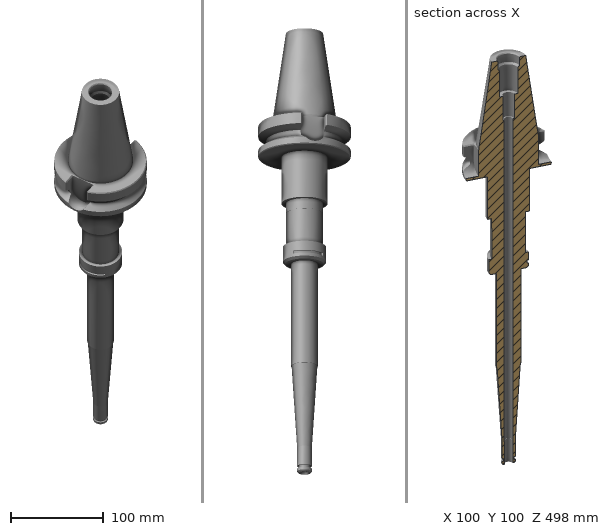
import cadquery as cq
import math

total_length = 498.0
gauge_z = 395.8
flange_top = 393.5
flange_bottom = 357.5
stem_bottom = 305.0
neck_step = 293.5
neck_bottom = 256.0
collar_bottom = 236.5
rod_bottom = 121.0
cone_bottom = 28.5

taper_small_dia = 40.5
taper_large_dia = 70.0
flange_dia = 100.0
stem_dia = 50.0
neck_upper_dia = 40.5
neck_lower_dia = 40.0
collar_dia = 47.0
rod_dia = 29.0
cone_top_dia = 28.0
nose_dia = 16.0

flange_chamfer = 1.0
collar_chamfer = 2.5
nose_chamfer = 1.5

groove_root_dia = 83.0
groove_center_z = 373.0
groove_root_width = 6.0
groove_wall_angle = 30.0

keyway_width = 26.0
keyway_floor = 35.5
keyway_bottom = 361.0
keyway_chamfer = 1.25

collar_groove_bottom = 242.5
collar_groove_width = 3.0
collar_groove_depth = 1.5
collar_groove_angle = 90.0

nose_groove_dia = 13.0
nose_groove_bottom = 4.5
nose_groove_width = 3.0

counterbore_dia = 25.0
counterbore_depth = 11.0
mouth_chamfer = 1.0
thread_dia = 21.0
thread_depth = 45.0
coolant_entry_dia = 13.0
coolant_entry_depth = 74.5
coolant_dia = 10.0
nozzle_dia = 9.0


def frustum(bottom_z, top_z, bottom_dia, top_dia):
    """Solid of revolution about Z with straight sides."""
    profile = [
        (0, bottom_z),
        (bottom_dia / 2, bottom_z),
        (top_dia / 2, top_z),
        (0, top_z),
    ]
    return cq.Workplane("XZ").polyline(profile).close().revolve(360, (0, 0), (0, 1))


def cylinder(bottom_z, top_z, dia):
    return frustum(bottom_z, top_z, dia, dia)


def ring(bottom_z, top_z, inner_dia, outer_dia):
    return cylinder(bottom_z, top_z, outer_dia).cut(cylinder(bottom_z, top_z, inner_dia))


def make_flange():
    flange = cylinder(flange_bottom, flange_top, flange_dia).edges().chamfer(flange_chamfer)
    root_radius = groove_root_dia / 2
    rim_radius = flange_dia / 2
    root_half = groove_root_width / 2
    rim_half = root_half + (rim_radius - root_radius) * math.tan(math.radians(groove_wall_angle))
    groove = (
        cq.Workplane("XZ")
        .moveTo(root_radius, groove_center_z - root_half)
        .lineTo(rim_radius, groove_center_z - rim_half)
        .lineTo(rim_radius, groove_center_z + rim_half)
        .lineTo(root_radius, groove_center_z + root_half)
        .close()
        .revolve(360, (0, 0), (0, 1))
    )
    return flange.cut(groove)


def make_keyway():
    """Round-ended slot on the -Y side, open at the top, with its upper edges chamfered."""
    half = keyway_width / 2
    end_center = keyway_bottom + half
    slot = (
        cq.Workplane("XZ", origin=(0, -keyway_floor, 0))
        .moveTo(-half, gauge_z)
        .lineTo(-half, end_center)
        .threePointArc((0, keyway_bottom), (half, end_center))
        .lineTo(half, gauge_z)
        .close()
        .extrude(flange_dia)
    )
    flared_half = half + keyway_chamfer
    top_flare = (
        cq.Workplane("XZ", origin=(0, -keyway_floor, 0))
        .polyline([
            (-half, flange_top - keyway_chamfer),
            (-flared_half, flange_top),
            (flared_half, flange_top),
            (half, flange_top - keyway_chamfer),
        ])
        .close()
        .extrude(flange_dia)
    )
    mouth_y = -math.sqrt((flange_dia / 2) ** 2 - flared_half ** 2)
    side_flare = (
        cq.Workplane("XY", origin=(0, 0, groove_center_z))
        .polyline([
            (-half, mouth_y + keyway_chamfer),
            (-flared_half, mouth_y),
            (-flared_half, -flange_dia),
            (flared_half, -flange_dia),
            (flared_half, mouth_y),
            (half, mouth_y + keyway_chamfer),
        ])
        .close()
        .extrude(flange_top - groove_center_z)
    )
    return slot.union(top_flare).union(side_flare)


def make_collar():
    collar = cylinder(collar_bottom, neck_bottom, collar_dia).faces("<Z").chamfer(collar_chamfer)
    root_dia = collar_dia - 2 * collar_groove_depth
    groove_top = collar_groove_bottom + collar_groove_width
    wedge_half = collar_dia * math.tan(math.radians(collar_groove_angle / 2))
    wedge = (
        cq.Workplane("XY", origin=(0, 0, collar_groove_bottom))
        .polyline([(0, 0), (-wedge_half, -collar_dia), (wedge_half, -collar_dia)])
        .close()
        .extrude(collar_groove_width)
    )
    return collar.cut(ring(collar_groove_bottom, groove_top, root_dia, collar_dia).intersect(wedge))


def make_nose():
    nose = cylinder(0, cone_bottom, nose_dia).faces("<Z").chamfer(nose_chamfer)
    groove_top = nose_groove_bottom + nose_groove_width
    return nose.cut(ring(nose_groove_bottom, groove_top, nose_groove_dia, nose_dia))


def make_bore():
    """Counterbore, 45 degree step, thread hole and coolant hole, all on the axis."""
    mouth_bottom = total_length - mouth_chamfer
    counterbore_bottom = total_length - counterbore_depth
    step_bottom = counterbore_bottom - (counterbore_dia - thread_dia) / 2
    thread_bottom = total_length - thread_depth
    entry_bottom = total_length - coolant_entry_depth
    mouth_dia = counterbore_dia + 2 * mouth_chamfer
    return (
        cylinder(0, cone_bottom, nozzle_dia)
        .union(cylinder(cone_bottom, entry_bottom, coolant_dia))
        .union(cylinder(entry_bottom, thread_bottom, coolant_entry_dia))
        .union(cylinder(thread_bottom, step_bottom, thread_dia))
        .union(frustum(step_bottom, counterbore_bottom, thread_dia, counterbore_dia))
        .union(cylinder(counterbore_bottom, mouth_bottom, counterbore_dia))
        .union(frustum(mouth_bottom, total_length, counterbore_dia, mouth_dia))
    )


body = (
    frustum(gauge_z, total_length, taper_large_dia, taper_small_dia)
    .union(cylinder(flange_top, gauge_z, taper_large_dia))
    .union(make_flange())
    .union(cylinder(stem_bottom, flange_bottom, stem_dia))
    .union(cylinder(neck_step, stem_bottom, neck_upper_dia))
    .union(cylinder(neck_bottom, neck_step, neck_lower_dia))
    .union(make_collar())
    .union(cylinder(rod_bottom, collar_bottom, rod_dia))
    .union(frustum(cone_bottom, rod_bottom, nose_dia, cone_top_dia))
    .union(make_nose())
)

keyway = make_keyway()
result = body.cut(keyway).cut(keyway.mirror("XZ")).cut(make_bore())